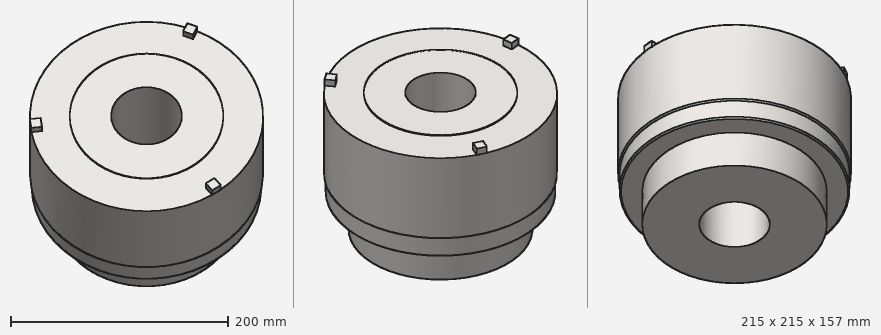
import cadquery as cq

neck_radius = 85.0
neck_height = 39.5
band_radius = 106.0
band_height = 20.5
band_chamfer = 1.5
body_radius = 107.5
body_height = 90.0
body_chamfer = body_radius - band_radius
face_ring_radius = 70.75
face_ring_height = 1.0
bore_radius = 32.5

key_count = 3
key_side = 10.0
key_height = 7.0
first_key_angle = 90.0

band_bottom_z = neck_height
body_bottom_z = band_bottom_z + band_height
body_top_z = body_bottom_z + body_height


def disc(radius, height, bottom_z):
    """Solid cylinder on the Z axis."""
    return cq.Workplane("XY").workplane(offset=bottom_z).circle(radius).extrude(height)


def make_body():
    """Neck, band, main body and raised face ring, with the through bore."""
    neck = disc(neck_radius, neck_height, 0)
    band = disc(band_radius, band_height, band_bottom_z).faces("<Z").chamfer(band_chamfer)
    main = disc(body_radius, body_height, body_bottom_z).faces("<Z").chamfer(body_chamfer)
    face_ring = disc(face_ring_radius, face_ring_height, body_top_z)
    bore = disc(bore_radius, body_top_z + face_ring_height, 0)
    return neck.union(band).union(main).union(face_ring).cut(bore)


def make_key(angle):
    """One key whose flat outer face is tangent to the body rim."""
    return (
        cq.Workplane("XY")
        .workplane(offset=body_top_z)
        .center(body_radius - key_side / 2, 0)
        .rect(key_side, key_side)
        .extrude(key_height)
        .rotate((0, 0, 0), (0, 0, 1), angle)
    )


result = make_body()
for index in range(key_count):
    key_angle = first_key_angle + index * 360.0 / key_count
    result = result.union(make_key(key_angle))